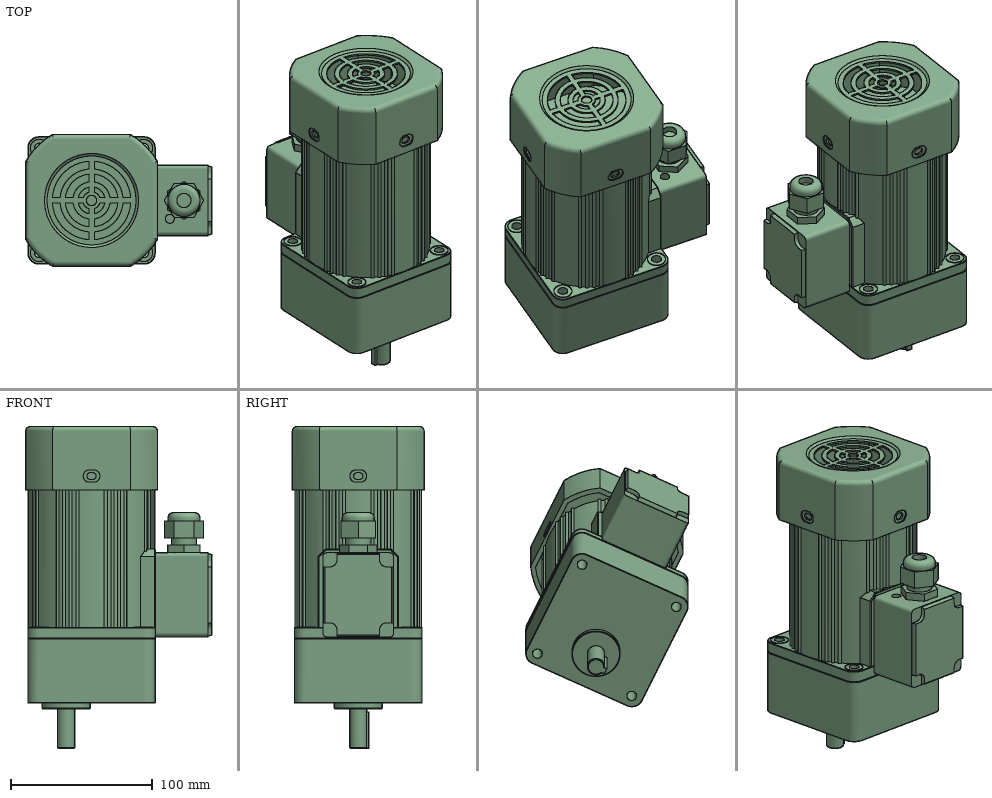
import cadquery as cq
import math

BOSS_BOTTOM_Z = 28.0
GEARBOX_BOTTOM_Z = 32.0
FLANGE_BOTTOM_Z = 77.5
FLANGE_TOP_Z = 85.4
COVER_BOTTOM_Z = 182.3
MOTOR_TOP_Z = 191.1
COVER_TOP_Z = 227.0

FRAME_SIDE = 90.0
FRAME_HALF = FRAME_SIDE / 2
FRAME_CORNER_RADIUS = 8.0
FRAME_EDGE_CHAMFER = 0.35
MOUNT_HOLE_OFFSET = 36.8
MOUNT_HOLE_DIAMETER = 6.8
BOLT_SEAT_DIAMETER = 12.7
BOLT_SEAT_HEIGHT = 0.5
SHAFT_X = -18.0
BOSS_RADIUS = 17.0
BOSS_CHAMFER = 0.5
SHAFT_RADIUS = 6.1
SHAFT_CHAMFER = 0.7
KEY_WIDTH = 4.0
KEY_OUTER_Y = 7.5
KEY_TOP_Z = 25.9

BARREL_RADIUS = 44.7
RIB_RADIUS = 1.1
RIB_PITCH_ANGLE = 6.4
RIBS_PER_GROUP = 4
RIB_GROUPS = 8
PAD_HALF_WIDTH = 28.4
PAD_TOP_Z = 140.5
PAD_CHAMFER = 5.2
PAD_END_CHAMFER = 0.7

COVER_SIDE = 93.0
COVER_HALF = COVER_SIDE / 2
COVER_CORNER_RADIUS = 54.0
COVER_WALL = 3.5
COVER_TOP_FILLET = 3.5
DISH_TOP_RADIUS = 33.1
DISH_FLOOR_RADIUS = 31.3
DISH_DEPTH = 1.4
GRILLE_THICKNESS = 1.1
GRILLE_RINGS = [(27.7, 22.2), (18.6, 13.2), (9.5, 6.1)]
GRILLE_HOLE_RADIUS = 3.6
SPOKE_WIDTH = 3.9
CLAMP_Z = 192.0
CLAMP_RECESS_LENGTH = 11.8
CLAMP_RECESS_HEIGHT = 8.6
CLAMP_RECESS_DEPTH = 1.0
CLAMP_HOLE_LENGTH = 6.5
CLAMP_HOLE_HEIGHT = 4.8
CLAMP_HOLE_DEPTH = 2.3

BOX_END_X = 82.0
BOX_HALF_WIDTH = 25.0
BOX_BOTTOM_Z = 78.5
BOX_TOP_Z = 138.0
BOX_FILLET = 3.0
LID_END_X = 85.0
LID_BASE_INSET = 0.5
LID_FACE_INSET = 1.4
LID_NOTCH = 10.0
LID_NOTCH_RADIUS = 5.0
DRAIN_X = 55.2
DRAIN_Y = -13.0
DRAIN_DIAMETER = 6.4
DRAIN_DEPTH = 6.8

GLAND_X = 65.1
GLAND_BASE_FLATS = 23.0
GLAND_BASE_TOP_Z = 143.5
GLAND_NECK_RADIUS = 8.9
GLAND_NUT_BOTTOM_Z = 148.2
GLAND_NUT_FLATS = 24.0
GLAND_NUT_TOP_Z = 160.5
GLAND_CAP_RADIUS = 11.4
GLAND_CAP_TOP_Z = 166.5
GLAND_CAP_FILLET = 4.0
GLAND_BORE_RADIUS = 5.0
GLAND_BORE_DEPTH = 4.5

SIGNS = [(a, b) for a in (-1, 1) for b in (-1, 1)]
CORNER_POINTS = [(a * MOUNT_HOLE_OFFSET, b * MOUNT_HOLE_OFFSET) for a, b in SIGNS]


def block(x0, x1, y0, y1, z0, z1):
    """Box between two corners."""
    return cq.Workplane("XY").box(x1 - x0, y1 - y0, z1 - z0, centered=False).translate((x0, y0, z0))


def cylinder(radius, z0, z1, x=0.0, y=0.0):
    """Upright cylinder between two heights."""
    return cq.Workplane("XY", origin=(x, y, z0)).circle(radius).extrude(z1 - z0)


def frame_block(z0, z1):
    """Square frame section with rounded vertical corners and chamfered ends."""
    frame = block(-FRAME_HALF, FRAME_HALF, -FRAME_HALF, FRAME_HALF, z0, z1)
    frame = frame.edges("|Z").fillet(FRAME_CORNER_RADIUS)
    return frame.faces("<Z or >Z").edges().chamfer(FRAME_EDGE_CHAMFER)


def corner_cylinders(diameter, z0, z1):
    """Four cylinders on the bolt positions in the frame corners."""
    centres = cq.Workplane("XY", origin=(0, 0, z0)).pushPoints(CORNER_POINTS)
    return centres.circle(diameter / 2).extrude(z1 - z0)


def make_gearbox():
    """Gear housing with the offset output boss underneath."""
    housing = frame_block(GEARBOX_BOTTOM_Z, FLANGE_BOTTOM_Z)
    boss = cylinder(BOSS_RADIUS, BOSS_BOTTOM_Z, GEARBOX_BOTTOM_Z, SHAFT_X)
    boss = boss.faces("<Z").edges().chamfer(BOSS_CHAMFER)
    holes = corner_cylinders(MOUNT_HOLE_DIAMETER, GEARBOX_BOTTOM_Z, FLANGE_BOTTOM_Z)
    return housing.union(boss).cut(holes)


def make_shaft():
    """Output shaft with its key on the +Y side, rounded at the upper end."""
    shaft = cylinder(SHAFT_RADIUS, 0, BOSS_BOTTOM_Z, SHAFT_X)
    shaft = shaft.faces("<Z").edges().chamfer(SHAFT_CHAMFER)
    half_key = KEY_WIDTH / 2
    key_round_z = KEY_TOP_Z - half_key
    key = block(SHAFT_X - half_key, SHAFT_X + half_key, 0, KEY_OUTER_Y, 0, key_round_z)
    key_end = cq.Workplane("XZ", origin=(SHAFT_X, 0, key_round_z)).circle(half_key).extrude(-KEY_OUTER_Y)
    return shaft.union(key).union(key_end)


def cover_block(inset, z0, z1):
    """Square section whose corners are cut by a round outline, moved inwards by the inset."""
    half = COVER_HALF - inset
    return block(-half, half, -half, half, z0, z1).intersect(cylinder(COVER_CORNER_RADIUS - inset, z0, z1))


def barrel_ribs():
    """Groups of narrow half-round ribs along the barrel."""
    group_pitch = 360 / RIB_GROUPS
    rib = cylinder(RIB_RADIUS, FLANGE_TOP_Z, COVER_BOTTOM_Z, BARREL_RADIUS)
    ribs = []
    for group in range(RIB_GROUPS):
        for index in range(RIBS_PER_GROUP):
            offset = (index - (RIBS_PER_GROUP - 1) / 2) * RIB_PITCH_ANGLE
            angle = (group + 0.5) * group_pitch + offset
            ribs.append(rib.rotate((0, 0, 0), (0, 0, 1), angle))
    return ribs


def make_motor():
    """Ribbed barrel between a square flange and an end plate, with a flat pad for the terminal box."""
    seat_top_z = FLANGE_TOP_Z + BOLT_SEAT_HEIGHT
    motor = frame_block(FLANGE_BOTTOM_Z, FLANGE_TOP_Z)
    motor = motor.union(corner_cylinders(BOLT_SEAT_DIAMETER, FLANGE_TOP_Z, seat_top_z))
    motor = motor.cut(corner_cylinders(MOUNT_HOLE_DIAMETER, FLANGE_BOTTOM_Z, seat_top_z))
    motor = motor.union(cylinder(BARREL_RADIUS, FLANGE_TOP_Z - FRAME_EDGE_CHAMFER, COVER_BOTTOM_Z))
    for rib in barrel_ribs():
        motor = motor.union(rib)
    pad = block(0, FRAME_HALF, -PAD_HALF_WIDTH, PAD_HALF_WIDTH, FLANGE_TOP_Z, PAD_TOP_Z)
    pad = pad.faces(">Z").edges("|X").chamfer(PAD_CHAMFER)
    pad = pad.faces(">X").edges("not <Z").chamfer(PAD_END_CHAMFER)
    end_plate = cover_block(COVER_WALL, COVER_BOTTOM_Z, MOTOR_TOP_Z)
    return motor.union(pad).union(end_plate)


def grille_openings(z0, z1):
    """Concentric slots crossed by four spokes, and the middle hole."""
    rings = cylinder(GRILLE_HOLE_RADIUS, z0, z1)
    spokes = block(-COVER_HALF, COVER_HALF, -SPOKE_WIDTH / 2, SPOKE_WIDTH / 2, z0, z1)
    spokes = spokes.union(spokes.rotate((0, 0, 0), (0, 0, 1), 90))
    for outer, inner in GRILLE_RINGS:
        ring = cylinder(outer, z0, z1).cut(cylinder(inner, z0, z1)).cut(spokes)
        rings = rings.union(ring)
    return rings


def clamp_openings():
    """Stepped oblong screw openings in the middle of the four sides."""
    recess = (
        cq.Workplane("XZ", origin=(0, -COVER_HALF + CLAMP_RECESS_DEPTH, CLAMP_Z))
        .slot2D(CLAMP_RECESS_LENGTH, CLAMP_RECESS_HEIGHT)
        .extrude(CLAMP_RECESS_DEPTH)
    )
    hole = (
        cq.Workplane("XZ", origin=(0, -COVER_HALF + CLAMP_HOLE_DEPTH, CLAMP_Z))
        .slot2D(CLAMP_HOLE_LENGTH, CLAMP_HOLE_HEIGHT)
        .extrude(CLAMP_HOLE_DEPTH)
    )
    opening = recess.union(hole)
    return [opening.rotate((0, 0, 0), (0, 0, 1), 90 * side) for side in range(4)]


def make_fan_cover():
    """Hollow cover over the motor end plate, with a dished air grille on top."""
    dish_floor_z = COVER_TOP_Z - DISH_DEPTH
    cavity_top_z = dish_floor_z - GRILLE_THICKNESS
    cover = cover_block(0, COVER_BOTTOM_Z, COVER_TOP_Z).faces(">Z").edges().fillet(COVER_TOP_FILLET)
    cover = cover.cut(cover_block(COVER_WALL, COVER_BOTTOM_Z, cavity_top_z))
    dish = (
        cq.Workplane("XY", origin=(0, 0, dish_floor_z))
        .circle(DISH_FLOOR_RADIUS)
        .workplane(offset=DISH_DEPTH)
        .circle(DISH_TOP_RADIUS)
        .loft(ruled=True)
    )
    cover = cover.cut(dish).cut(grille_openings(cavity_top_z, dish_floor_z))
    for opening in clamp_openings():
        cover = cover.cut(opening)
    return cover


def lid_notch(side_y, side_z):
    """Cutter for one lid corner, with its inner edge rounded."""
    mid_z = (BOX_BOTTOM_Z + BOX_TOP_Z) / 2
    half_height = (BOX_TOP_Z - BOX_BOTTOM_Z) / 2
    notch = block(
        BOX_END_X, LID_END_X,
        BOX_HALF_WIDTH - LID_NOTCH, BOX_HALF_WIDTH,
        half_height - LID_NOTCH, half_height,
    )
    notch = notch.edges("|X").edges("<Y and <Z").fillet(LID_NOTCH_RADIUS)
    if side_y < 0:
        notch = notch.mirror("XZ")
    if side_z < 0:
        notch = notch.mirror("XY")
    return notch.translate((0, 0, mid_z))


def make_lid():
    """Raised end of the terminal box, narrowing outwards and notched at its four corners."""
    base_width = 2 * (BOX_HALF_WIDTH - LID_BASE_INSET)
    base_height = BOX_TOP_Z - BOX_BOTTOM_Z - 2 * LID_BASE_INSET
    narrowing = 2 * (LID_FACE_INSET - LID_BASE_INSET)
    lid = (
        cq.Workplane("YZ", origin=(BOX_END_X, 0, (BOX_BOTTOM_Z + BOX_TOP_Z) / 2))
        .rect(base_width, base_height)
        .workplane(offset=LID_END_X - BOX_END_X)
        .rect(base_width - narrowing, base_height - narrowing)
        .loft(ruled=True)
    )
    for side_y, side_z in SIGNS:
        lid = lid.cut(lid_notch(side_y, side_z))
    return lid


def make_terminal_box():
    """Terminal box with rounded long edges, its raised end and a small hole in the top."""
    box = block(FRAME_HALF, BOX_END_X, -BOX_HALF_WIDTH, BOX_HALF_WIDTH, BOX_BOTTOM_Z, BOX_TOP_Z)
    box = box.edges("|X").fillet(BOX_FILLET)
    drain = cylinder(DRAIN_DIAMETER / 2, BOX_TOP_Z - DRAIN_DEPTH, BOX_TOP_Z, DRAIN_X, DRAIN_Y)
    return box.union(make_lid()).cut(drain)


def hexagon(across_flats, z0, z1, turn=0):
    """Hexagonal prism on the gland axis."""
    corner_diameter = across_flats / math.cos(math.radians(30))
    prism = cq.Workplane("XY", origin=(0, 0, z0)).polygon(6, corner_diameter).extrude(z1 - z0)
    return prism.rotate((0, 0, 0), (0, 0, 1), turn).translate((GLAND_X, 0, 0))


def make_gland():
    """Cable gland: hexagonal base, neck, clamping nut and rounded cap."""
    base = hexagon(GLAND_BASE_FLATS, BOX_TOP_Z, GLAND_BASE_TOP_Z, turn=30)
    neck = cylinder(GLAND_NECK_RADIUS, GLAND_BASE_TOP_Z, GLAND_NUT_BOTTOM_Z, GLAND_X)
    nut = hexagon(GLAND_NUT_FLATS, GLAND_NUT_BOTTOM_Z, GLAND_NUT_TOP_Z)
    cap = cylinder(GLAND_CAP_RADIUS, GLAND_NUT_TOP_Z, GLAND_CAP_TOP_Z, GLAND_X)
    cap = cap.faces(">Z").edges().fillet(GLAND_CAP_FILLET)
    bore = cylinder(GLAND_BORE_RADIUS, GLAND_CAP_TOP_Z - GLAND_BORE_DEPTH, GLAND_CAP_TOP_Z, GLAND_X)
    gland = base.union(neck).union(nut).union(cap)
    return gland.cut(bore)


gearbox = make_gearbox()
shaft = make_shaft()
motor = make_motor()
fan_cover = make_fan_cover()
terminal_box = make_terminal_box()
gland = make_gland()

bodies = [gearbox, shaft, motor, fan_cover, terminal_box, gland]
result = cq.Compound.makeCompound([body.val() for body in bodies])